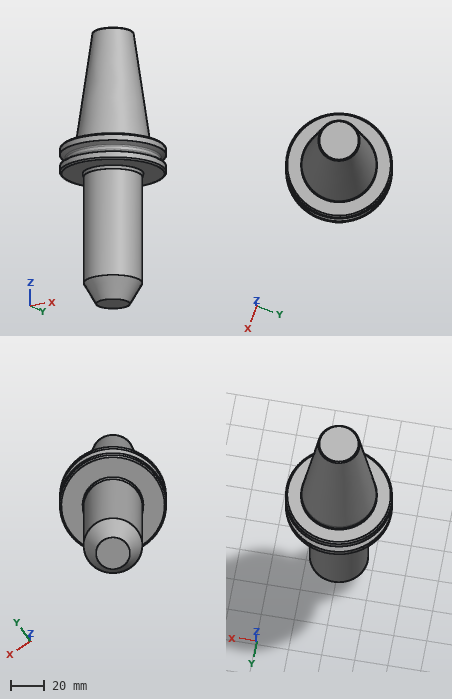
import cadquery as cq
import math

total_length = 168.2
taper_length = 68.1
gauge_radius = 22.2
taper_ratio = 7 / 24
top_chamfer = 0.7

neck_length = 3.2
neck_flare_height = 0.8
neck_flare = 0.5

flange_radius = 31.72
flange_height = 16.2
flange_chamfer = 1.0
groove_radius = 28.3
groove_mouth = 7.0
groove_offset = 4.5
groove_flank_angle = 30.0
groove_fillet = 1.0

shank_radius = 17.5
collar_height = 2.0
collar_radius = 18.2
tip_radius = 10.1
tip_angle = 30.0

gauge_z = total_length - taper_length
flange_top = gauge_z - neck_length
flange_bottom = flange_top - flange_height
groove_top = flange_top - groove_offset
groove_bottom = groove_top - groove_mouth
tip_height = (shank_radius - tip_radius) / math.tan(math.radians(tip_angle))
flank_height = (flange_radius - groove_radius) * math.tan(math.radians(groove_flank_angle))

top_radius = gauge_radius - taper_length * taper_ratio / 2
chamfer_radius = top_radius + top_chamfer * taper_ratio / 2


def revolve_profile(points):
    """Revolve a closed (radius, height) outline about the Z axis."""
    return cq.Workplane("XZ").polyline(points).close().revolve(360, (0, 0, 0), (0, 1, 0))


def make_taper():
    return revolve_profile([
        (0, flange_top),
        (gauge_radius + neck_flare, flange_top),
        (gauge_radius, flange_top + neck_flare_height),
        (gauge_radius, gauge_z),
        (chamfer_radius, total_length - top_chamfer),
        (top_radius - top_chamfer, total_length),
        (0, total_length),
    ])


def make_flange():
    flange = (
        cq.Workplane("XY", origin=(0, 0, flange_bottom))
        .circle(flange_radius)
        .extrude(flange_height)
        .faces("<Z or >Z")
        .edges()
        .chamfer(flange_chamfer)
    )
    groove = revolve_profile([
        (groove_radius, groove_bottom + flank_height),
        (flange_radius, groove_bottom),
        (flange_radius, groove_top),
        (groove_radius, groove_top - flank_height),
    ])
    floor_edges = cq.selectors.RadiusNthSelector(0)
    groove = groove.edges("%CIRCLE").edges(floor_edges).fillet(groove_fillet)
    return flange.cut(groove)


def make_shank():
    return revolve_profile([
        (0, 0),
        (tip_radius, 0),
        (shank_radius, tip_height),
        (shank_radius, flange_bottom - collar_height),
        (collar_radius, flange_bottom),
        (0, flange_bottom),
    ])


result = make_taper().union(make_flange()).union(make_shank())